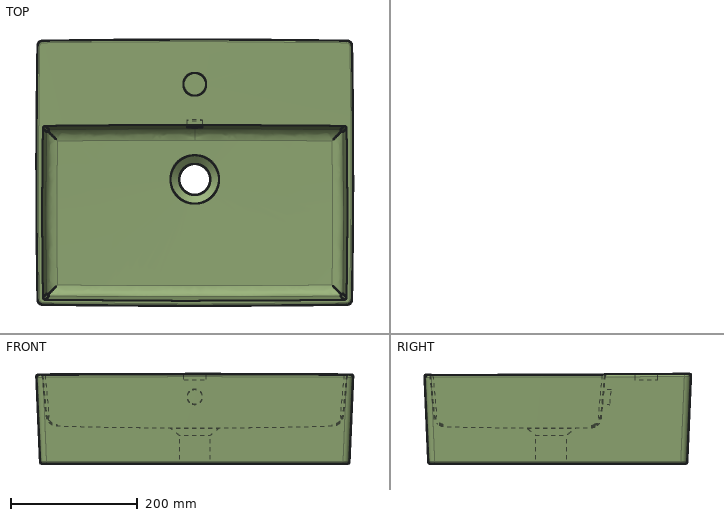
import cadquery as cq
import math

LENGTH = 499.5
WIDTH = 420.0
HEIGHT = 142.0

EDGE_BOW = 2.0
BODY_INSET = 6.0
BODY_CORNER = 9.0
EDGE_ROUND = 3.5
CROWN_SAG = 1.0
CROWN_FALL = 1.0

BASIN_HALF_LENGTH = 240.5
BASIN_BACK = 75.5
BASIN_FRONT = -202.0
BASIN_BOW = 1.5
WALL_LEAN = 5.5
BASIN_CORNER = 5.0
CORNER_GAP = 0.1
BASIN_COVE = 18.0
BASIN_DEPTH = 86.0
FLOOR_RADIUS = 6991.5

DRAIN_Y = -10.5
DRAIN_DIAMETER = 48.5
FUNNEL_DIAMETER = 76.5
FUNNEL_DEPTH = 11.5

TAP_Y = 139.5
TAP_DIAMETER = 36.0
TAP_DEPTH = 10.0
OVERFLOW_DIAMETER = 24.0
OVERFLOW_DROP = 36.0
OVERFLOW_DEPTH = 11.0

CLEARANCE = 5.0


def bowed_frustum(top, depth, lean, half_length, front, back, bow):
    """Block hanging from height top, its four sides shallow arcs leaning inward as they descend."""
    corner_x = half_length - bow
    corner_front = front + bow
    corner_back = back - bow
    middle = (front + back) / 2
    return (
        cq.Workplane("XY", origin=(0, 0, top))
        .moveTo(-corner_x, corner_front)
        .threePointArc((0, front), (corner_x, corner_front))
        .threePointArc((half_length, middle), (corner_x, corner_back))
        .threePointArc((0, back), (-corner_x, corner_back))
        .threePointArc((-half_length, middle), (-corner_x, corner_front))
        .close()
        .extrude(-depth, taper=lean)
    )


def round_upright_corners(block, radius):
    """Round the corner edges, the only ones centred between the top and the base."""
    low = (-LENGTH, -WIDTH, HEIGHT * 0.4)
    high = (LENGTH, WIDTH, HEIGHT * 0.85)
    return block.edges(cq.selectors.BoxSelector(low, high)).fillet(radius)


def make_crown():
    """Block under the gently arched top face, which also falls toward the front."""
    half = LENGTH / 2
    overrun = half + CLEARANCE
    radius = (half**2 + CROWN_SAG**2) / (2 * CROWN_SAG)
    end_height = HEIGHT - radius + math.sqrt(radius**2 - overrun**2)
    tilt = math.degrees(math.atan(CROWN_FALL / WIDTH))
    return (
        cq.Workplane("XZ", origin=(0, WIDTH / 2 + CLEARANCE, 0))
        .moveTo(-overrun, -HEIGHT)
        .lineTo(overrun, -HEIGHT)
        .lineTo(overrun, end_height)
        .threePointArc((0, HEIGHT), (-overrun, end_height))
        .close()
        .extrude(WIDTH + 2 * CLEARANCE)
        .rotate((0, WIDTH / 2, HEIGHT), (1, WIDTH / 2, HEIGHT), tilt)
    )


def make_body():
    """Solid outer shape; the sides reach full size just below the rounded rim."""
    slope = BODY_INSET / HEIGHT
    overhang = slope * (CROWN_SAG + EDGE_ROUND)
    half_width = WIDTH / 2 + overhang
    block = bowed_frustum(
        HEIGHT, HEIGHT, math.degrees(math.atan(slope)),
        LENGTH / 2 + overhang, -half_width, half_width, EDGE_BOW,
    )
    body = round_upright_corners(block, BODY_CORNER).intersect(make_crown())
    return body.faces("<Z").edges().fillet(EDGE_ROUND)


def basin_prism(growth):
    """Leaning basin walls, each moved outward by growth, running past the rim and the floor."""
    flare = CLEARANCE * math.tan(math.radians(WALL_LEAN)) + growth
    return bowed_frustum(
        HEIGHT + CLEARANCE, BASIN_DEPTH + 2 * CLEARANCE, WALL_LEAN,
        BASIN_HALF_LENGTH + flare, BASIN_FRONT - flare, BASIN_BACK + flare, BASIN_BOW,
    )


def make_basin():
    """Cavity with a broad cove around its dished floor and small rounds up its corners."""
    dish = (
        cq.Workplane("XY")
        .sphere(FLOOR_RADIUS)
        .rotate((0, 0, 0), (0, 0, 1), 90)
        .translate((0, DRAIN_Y, HEIGHT - BASIN_DEPTH + FLOOR_RADIUS))
    )
    coved = basin_prism(0).intersect(dish).faces("<Z").edges().fillet(BASIN_COVE)
    return coved.intersect(round_upright_corners(basin_prism(CORNER_GAP), BASIN_CORNER))


def make_drain():
    """Through hole with a conical funnel opening into the basin floor."""
    mouth = HEIGHT - BASIN_DEPTH
    mouth_radius = FUNNEL_DIAMETER / 2
    drain_radius = DRAIN_DIAMETER / 2
    return (
        cq.Workplane("XZ")
        .moveTo(0, -CLEARANCE)
        .lineTo(drain_radius, -CLEARANCE)
        .lineTo(drain_radius, mouth - FUNNEL_DEPTH)
        .lineTo(mouth_radius, mouth)
        .lineTo(mouth_radius, mouth + CLEARANCE)
        .lineTo(0, mouth + CLEARANCE)
        .close()
        .revolve(360, (0, 0, 0), (0, 1, 0))
        .translate((0, DRAIN_Y, 0))
    )


def make_tap_hole():
    """Shallow blind hole in the deck behind the basin."""
    return (
        cq.Workplane("XY", origin=(0, TAP_Y, HEIGHT - TAP_DEPTH))
        .circle(TAP_DIAMETER / 2)
        .extrude(TAP_DEPTH + CLEARANCE)
    )


def make_overflow():
    """Blind hole square to the back wall of the basin."""
    wall_y = BASIN_BACK - OVERFLOW_DROP * math.tan(math.radians(WALL_LEAN))
    centre = (0, wall_y, HEIGHT - OVERFLOW_DROP)
    return (
        cq.Workplane("XZ", origin=centre)
        .workplane(offset=-OVERFLOW_DEPTH)
        .circle(OVERFLOW_DIAMETER / 2)
        .extrude(OVERFLOW_DEPTH + CLEARANCE)
        .rotate(centre, (1, wall_y, HEIGHT - OVERFLOW_DROP), -WALL_LEAN)
    )


shell = make_body().cut(make_basin())
rounded_shell = shell.faces(">Z").edges().fillet(EDGE_ROUND)
result = rounded_shell.cut(make_drain()).cut(make_tap_hole()).cut(make_overflow())